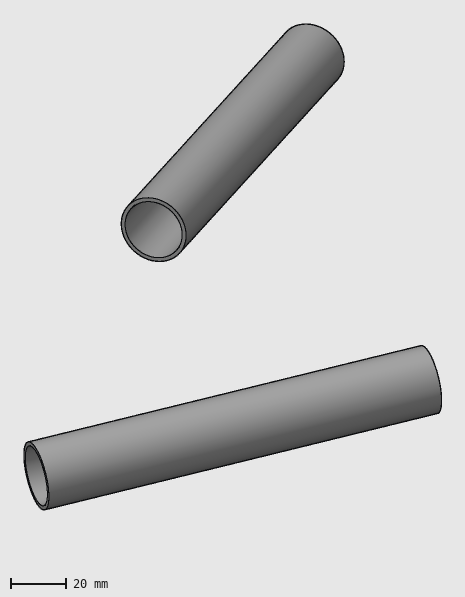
import cadquery as cq

outer_diameter = 25.4
wall_thickness = 1.54
length = 152.4

inner_diameter = outer_diameter - 2 * wall_thickness


def make_tube():
    """Ring profile on the +Y end plane, extruded the full length toward -Y."""
    end_plane = cq.Workplane("XZ", origin=(0, length / 2, 0))
    ring = end_plane.circle(outer_diameter / 2).circle(inner_diameter / 2)
    return ring.extrude(length)


result = make_tube()